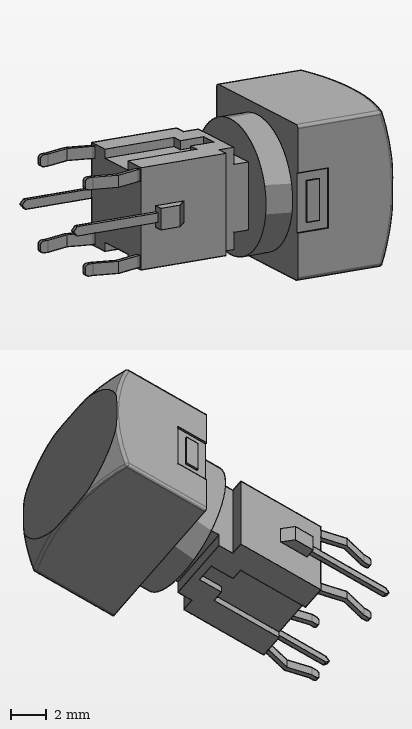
import cadquery as cq

CAP_WIDTH = 9.2
CAP_LENGTH = 6.17
CAP_ROUND = 0.2
DOME_RADIUS = 14.5
DOME_FLAT_RADIUS = 4.76

RECESS_DEPTH = 0.1
RECESS_LENGTH = 1.98
RECESS_HEIGHT = 3.53
TOOTH_LENGTH = 0.8
TOOTH_HEIGHT = 2.46
TOOTH_OFFSET = 0.6

COLLAR_DIAMETER = 8.0
COLLAR_LENGTH = 1.73
NECK_WIDTH = 4.0
NECK_LENGTH = 0.95

HOUSING_WIDTH = 5.58
HOUSING_HEIGHT = 6.03
HOUSING_LENGTH = 6.47
SHOULDER_LENGTH = 0.95

GROOVE_DEPTH = 0.54
GROOVE_WIDTH = 2.58
GROOVE_LENGTH = 4.49
GROOVE_NECK_WIDTH = 1.15
GROOVE_NECK_LENGTH = 1.5

LUG_REACH = 0.6
LUG_LENGTH = 1.83
LUG_HEIGHT = 1.27
LUG_END_OFFSET = 0.95

OVERALL_LENGTH = 19.85
TERMINAL_THICKNESS = 0.25
PIN_WIDTH = 0.55
PIN_POINT_LENGTH = 0.24
LEG_WIDTH = 0.71
LEG_SPACING = 5.08
LEG_BEND = 0.38
LEG_ROOT_LENGTH = 0.12
LEG_OUTWARD_LENGTH = 1.49
LEG_RETURN_LENGTH = 1.45
LEG_TIP_LENGTH = 0.5
LEG_TIP_ROUND = 0.24

COLLAR_END = -COLLAR_LENGTH
HOUSING_START = COLLAR_END - NECK_LENGTH
HOUSING_END = HOUSING_START - HOUSING_LENGTH
LUG_END = HOUSING_END + LUG_END_OFFSET
PIN_END = CAP_LENGTH - OVERALL_LENGTH
HOUSING_SIDE = HOUSING_WIDTH / 2
SIDES = (-1, 1)


def block(width, height, y_from, y_to):
    """Box centred on the Y axis, spanning y_from to y_to."""
    return cq.Workplane("XY").box(width, y_to - y_from, height).translate((0, (y_from + y_to) / 2, 0))


def make_cap():
    """Square cap with rounded edges, a spherical end and a flat trimmed across its crown."""
    dome_centre = CAP_LENGTH - (DOME_RADIUS**2 - DOME_FLAT_RADIUS**2) ** 0.5
    blank = block(CAP_WIDTH, CAP_WIDTH, 0, dome_centre + DOME_RADIUS)
    sphere = cq.Workplane("XY").sphere(DOME_RADIUS).translate((0, dome_centre, 0))
    domed = blank.intersect(sphere).edges("not <Y").fillet(CAP_ROUND)
    return domed.intersect(block(CAP_WIDTH, CAP_WIDTH, 0, CAP_LENGTH))


def make_latch_recesses():
    """Cutter for the two side recesses, leaving a tooth standing in each."""
    recesses = block(CAP_WIDTH, RECESS_HEIGHT, 0, RECESS_LENGTH)
    core = block(CAP_WIDTH - 2 * RECESS_DEPTH, RECESS_HEIGHT, 0, RECESS_LENGTH)
    teeth = block(CAP_WIDTH, TOOTH_HEIGHT, TOOTH_OFFSET, TOOTH_OFFSET + TOOTH_LENGTH)
    return recesses.cut(core).cut(teeth)


def make_collar_and_neck():
    """Round collar against the cap's back face, then the square neck down to the housing."""
    collar = cq.Workplane("XZ").circle(COLLAR_DIAMETER / 2).extrude(COLLAR_LENGTH)
    return collar.union(block(NECK_WIDTH, NECK_WIDTH, HOUSING_START, COLLAR_END))


def make_housing():
    """Housing with a narrower shoulder and a stepped groove along its top and bottom."""
    shoulder_end = HOUSING_START - SHOULDER_LENGTH
    housing = block(NECK_WIDTH, HOUSING_HEIGHT, shoulder_end, HOUSING_START)
    housing = housing.union(block(HOUSING_WIDTH, HOUSING_HEIGHT, HOUSING_END, shoulder_end))

    groove_end = HOUSING_END + GROOVE_LENGTH
    floor_height = HOUSING_HEIGHT - 2 * GROOVE_DEPTH
    groove = block(GROOVE_WIDTH, HOUSING_HEIGHT, HOUSING_END, groove_end)
    groove_neck = block(GROOVE_NECK_WIDTH, HOUSING_HEIGHT, groove_end, groove_end + GROOVE_NECK_LENGTH)
    core = block(HOUSING_WIDTH, floor_height, HOUSING_END, HOUSING_START)
    return housing.cut(groove.union(groove_neck).cut(core))


def make_lug():
    """Lug on the +X side, sloped at 45 degrees toward the cap."""
    outer = HOUSING_SIDE + LUG_REACH
    slope_start = LUG_END + LUG_LENGTH
    outline = cq.Workplane("XY").moveTo(0, LUG_END).lineTo(outer, LUG_END)
    outline = outline.lineTo(outer, slope_start - LUG_REACH)
    outline = outline.lineTo(HOUSING_SIDE, slope_start).lineTo(0, slope_start).close()
    return outline.extrude(LUG_HEIGHT / 2, both=True)


def make_pin():
    """Straight pointed terminal running along the +X side from the lug."""
    half = PIN_WIDTH / 2
    shoulder = PIN_END + PIN_POINT_LENGTH
    outline = [(LUG_END, half), (shoulder, half), (PIN_END, 0), (shoulder, -half), (LUG_END, -half)]
    pin = cq.Workplane("YZ").polyline(outline).close().extrude(TERMINAL_THICKNESS)
    return pin.translate((HOUSING_SIDE, 0, 0))


def make_leg():
    """Bent terminal on the +X side, bowed outward, with a rounded tip."""
    bend = HOUSING_END - LEG_ROOT_LENGTH
    apex = bend - LEG_OUTWARD_LENGTH
    tip_start = apex - LEG_RETURN_LENGTH
    tip_end = tip_start - LEG_TIP_LENGTH
    inner = HOUSING_SIDE - LEG_BEND
    path = [(inner, HOUSING_END), (inner, bend), (HOUSING_SIDE, apex), (inner, tip_start), (inner, tip_end)]
    outer_path = [(x + TERMINAL_THICKNESS, y) for x, y in reversed(path)]
    leg = cq.Workplane("XY").polyline(path + outer_path).close().extrude(LEG_WIDTH / 2, both=True)
    return leg.faces("<Y").edges("|X").fillet(LEG_TIP_ROUND)


cap = make_cap().cut(make_latch_recesses())
result = cap.union(make_collar_and_neck()).union(make_housing())

lug_and_pin = make_lug().union(make_pin())
leg = make_leg()
for side in SIDES:
    turn = 0 if side > 0 else 180
    result = result.union(lug_and_pin.rotate((0, 0, 0), (0, 1, 0), turn))
    for level in SIDES:
        placed = leg.translate((0, 0, level * LEG_SPACING / 2))
        result = result.union(placed.rotate((0, 0, 0), (0, 1, 0), turn))